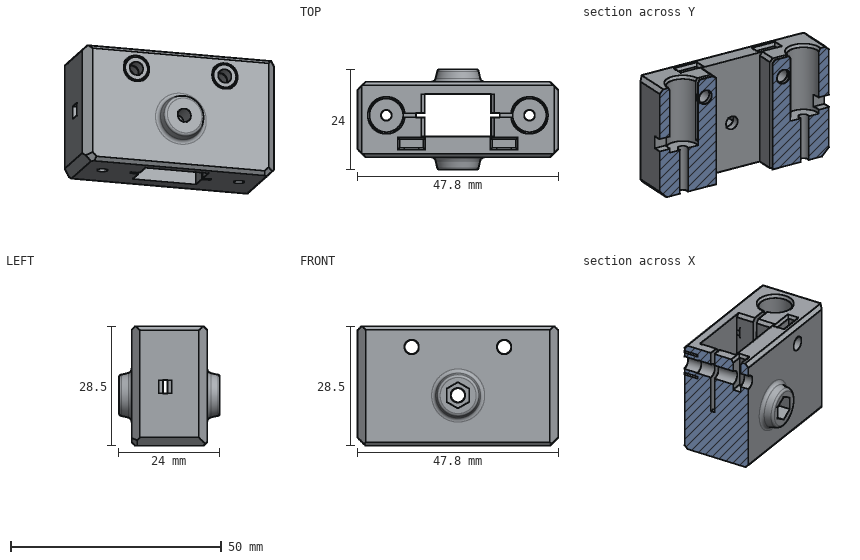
import cadquery as cq
import math

length = 47.8
depth = 18.0
height = 28.5
corner_chamfer = 2.0
top_end_chamfer = 1.0
side_chamfer = 0.9
back_corner_chamfer = 1.35

total_depth = 24.0
boss_z = 12.05
boss_height = (total_depth - depth) / 2
boss_tip_diameter = 9.65
boss_draft = 13.0
boss_tip_round = 0.65
boss_root_round = 1.0
screw_hole_front = 3.5
screw_hole_back = 3.3
hex_flats = 5.4
hex_depth = 5.98

inner_y = 1.0
cavity_length = 15.75
cavity_width = 10.05
cavity_chamfer = 0.8

bore_x = 17.0
bore_diameter = 8.0
window_floor = 12.5
bore_step = 1.0
bore_floor = window_floor - bore_step
bore_chamfer_width = 0.45
bore_chamfer_height = 0.75
pin_hole = 2.5
slit_width = 1.0
deep_slit_x = 9.95
window = 3.1

clamp_x = 11.0
clamp_z = 23.5
clamp_hole = 3.5
post_hole = 3.3
head_diameter = 6.4
post_diameter = 5.6
head_depth = 3.75
nut_width = 5.6
nut_thickness = 2.0
nut_y = -5.75
nut_floor = clamp_z - nut_width / math.sqrt(3)
nut_chamfer_width = 0.5
nut_chamfer_height = 0.8


def y_cylinder(diameter, x, z, y_from, y_to):
    """Cylinder parallel to Y between two Y positions."""
    base = cq.Vector(x, y_from, z)
    solid = cq.Solid.makeCylinder(diameter / 2, y_to - y_from, base, cq.Vector(0, 1, 0))
    return cq.Workplane(solid)


def make_block():
    """Block as the common part of three chamfered outlines."""
    block = cq.Workplane("XY").box(length, depth, height, centered=(True, True, False))
    plan = block.edges("|Z").chamfer(corner_chamfer)
    front = (
        block
        .edges("|Y and >Z").chamfer(top_end_chamfer)
        .edges("|Y and <Z").chamfer(corner_chamfer)
        .faces(">Y").edges("not(|X or |Z)").edges("<Z").chamfer(back_corner_chamfer)
    )
    profile = block.edges("|X").chamfer(side_chamfer)
    return plan.intersect(front).intersect(profile)


def make_boss():
    """Tapered boss on the back face with rounded tip and root, turned about the Y axis."""
    slope = math.radians(boss_draft)
    cos_slope = math.cos(slope)
    tan_slope = math.tan(slope)
    mid_angle = (math.pi / 2 + slope) / 2
    tip_radius = boss_tip_diameter / 2

    tip_y = boss_height - boss_tip_round
    tip_r = tip_radius + boss_tip_round * tan_slope - boss_tip_round / cos_slope
    root_r = tip_radius + (boss_height - boss_root_round) * tan_slope + boss_root_round / cos_slope

    def on_arc(centre_r, centre_y, radius, angle):
        return (centre_r + radius * math.cos(angle), centre_y + radius * math.sin(angle))

    profile = (
        cq.Workplane("XY")
        .lineTo(root_r, 0)
        .threePointArc(
            on_arc(root_r, boss_root_round, -boss_root_round, mid_angle),
            on_arc(root_r, boss_root_round, -boss_root_round, slope),
        )
        .lineTo(*on_arc(tip_r, tip_y, boss_tip_round, slope))
        .threePointArc(
            on_arc(tip_r, tip_y, boss_tip_round, mid_angle),
            (tip_r, boss_height),
        )
        .lineTo(0, boss_height)
        .close()
    )
    boss = profile.revolve(360, (0, 0, 0), (0, 1, 0))
    return boss.translate((0, depth / 2, boss_z))


def cut_boss_screw(body):
    """Screw hole through both bosses, with a hexagonal nut recess in the front one."""
    front_tip = -total_depth / 2
    hexagon = (
        cq.Workplane("XZ", origin=(0, front_tip, boss_z))
        .polygon(6, hex_flats, circumscribed=True).extrude(-hex_depth)
    )
    hex_floor = front_tip + hex_depth
    cavity_front = inner_y - cavity_width / 2
    taper = cq.Workplane(
        cq.Solid.makeCone(
            screw_hole_front / 2, screw_hole_back / 2, cavity_front - hex_floor,
            cq.Vector(0, hex_floor, boss_z), cq.Vector(0, 1, 0),
        )
    )
    straight = y_cylinder(screw_hole_back, 0, boss_z, hex_floor, -front_tip)
    return body.cut(hexagon).cut(taper).cut(straight)


def make_cavity():
    """Rectangular passage through Z, its two end edges chamfered at the top."""
    half = cavity_length / 2
    wide = half + cavity_chamfer
    outline = [
        (-half, 0), (half, 0), (half, height - cavity_chamfer), (wide, height),
        (-wide, height), (-half, height - cavity_chamfer),
    ]
    back = inner_y + cavity_width / 2
    return cq.Workplane("XZ", origin=(0, back, 0)).polyline(outline).close().extrude(cavity_width)


def make_end_cut(side):
    """Bore with chamfered mouth, pin hole, slit to the cavity and window in the end face."""
    x = side * bore_x
    radius = bore_diameter / 2
    mouth = radius + bore_chamfer_width
    profile = [
        (0, 0), (pin_hole / 2, 0), (pin_hole / 2, bore_floor), (radius, bore_floor),
        (radius, height - bore_chamfer_height), (mouth, height), (0, height),
    ]
    bore = cq.Workplane("XZ").polyline(profile).close().revolve(360, (0, 0, 0), (0, 1, 0))
    bore = bore.translate((x, inner_y, 0))

    def slot(x_from, x_to, width, z_from, z_to):
        size_x = x_to - x_from
        box = cq.Workplane("XY").box(size_x, width, z_to - z_from, centered=(True, True, False))
        return box.translate((side * (x_from + x_to) / 2, inner_y, z_from))

    shallow_slit = slot(0, bore_x, slit_width, window_floor, height)
    deep_slit = slot(0, deep_slit_x, slit_width, 0, height)
    end_window = slot(bore_x, length / 2, window, window_floor, window_floor + window)
    return bore.union(shallow_slit).union(deep_slit).union(end_window)


def make_clamp_cut(side):
    """Clamping screw hole with a ring-shaped head counterbore and a nut slot."""
    x = side * clamp_x
    face = depth / 2
    hole = y_cylinder(clamp_hole, x, clamp_z, -face, face - head_depth)
    hole = hole.union(y_cylinder(post_hole, x, clamp_z, -face, face))
    head = y_cylinder(head_diameter, x, clamp_z, face - head_depth, face)
    post = y_cylinder(post_diameter, x, clamp_z, face - head_depth, face)
    nut_slot = (
        cq.Workplane("XY", origin=(x, nut_y, nut_floor))
        .rect(nut_width, nut_thickness).extrude(height - nut_floor)
    )
    mouth = (
        cq.Workplane("XY", origin=(x, nut_y, height - nut_chamfer_height))
        .rect(nut_width, nut_thickness)
        .workplane(offset=nut_chamfer_height)
        .rect(nut_width + 2 * nut_chamfer_width, nut_thickness + 2 * nut_chamfer_width)
        .loft(ruled=True)
    )
    return head.cut(post).union(hole).union(nut_slot).union(mouth)


back_boss = make_boss()
body = make_block().union(back_boss).union(back_boss.mirror("XZ"))
body = cut_boss_screw(body)
body = body.cut(make_cavity())
for side in (-1, 1):
    body = body.cut(make_end_cut(side)).cut(make_clamp_cut(side))

result = body